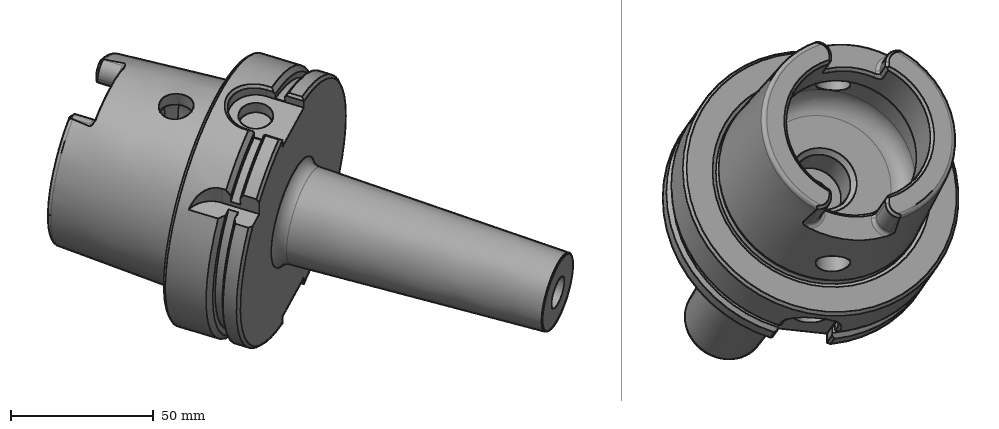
import cadquery as cq
import math

ARC_MID = math.sqrt(0.5)
MARGIN = 0.2
OVERSHOOT = 1.8

total_length = 179.0
flange_start = 50.0
flange_end = 79.0

taper_front_radius = 35.3
taper_back_radius = 38.0
taper_end = 47.8
mouth_round = 1.6
undercut_start = 48.5
undercut_end = 49.2
undercut_radius = 37.5
undercut_wall_radius = 38.1
undercut_face_radius = 39.5
undercut_face_depth = 0.7

flange_radius = 100.0 / 2
flange_chamfer = 1.0
groove_start = 68.2
groove_end = 71.8
groove_radius = 46.0
groove_bevel_height = 1.8
groove_start_bevel = 1.8
groove_end_bevel = 1.0

nose_base_radius = 17.9
nose_tip_radius = 14.5
nose_root_end = 83.6
nose_root_rise = 2.5
tip_chamfer = 0.4

mouth_bore_radius = 26.1
mouth_bore_end = 19.7
cavity_radius = 31.5
clamp_angle = 60.0
cavity_floor = 47.8
cavity_corner_radius = 7.0

through_radius = 5.9
tube_hole_radius = 10.4
tube_hole_depth = 14.3
tube_hole_chamfer = 1.8

notch_half_width = 9.8
notch_shoulder_radius = 5.0
notch_shoulder_height = 31.9
upper_notch_depth = 9.7
lower_notch_depth = 15.0
notch_floor_fillet = 1.5
notch_edge_break = 1.0

cross_hole_radius = 6.0
cross_hole_x = 34.7

slot_half_width = 9.8
slot_center_x = 64.8
slot_floor = 44.5
slot_chamfer = 1.0
slot_hole_radius = 6.0
slot_hole_depth = 5.0
corner_notch_offset = 31.5


def revolve_about_x(profile):
    """Turn an XY profile, with Y as the radius, about the X axis."""
    return profile.close().revolve(360, (0, 0, 0), (1, 0, 0))


def turned_body():
    rounding_x = mouth_round * (1 - ARC_MID)
    face_radius = taper_front_radius - mouth_round
    root_length = nose_root_end - flange_end
    root_radius = (root_length**2 + nose_root_rise**2) / (2 * nose_root_rise)
    root_half_angle = math.asin(root_length / root_radius) / 2
    root_mid = (
        nose_root_end - root_radius * math.sin(root_half_angle),
        nose_base_radius + root_radius * (1 - math.cos(root_half_angle)),
    )
    profile = (
        cq.Workplane("XY")
        .lineTo(0, face_radius)
        .threePointArc(
            (rounding_x, face_radius + mouth_round * ARC_MID),
            (mouth_round, taper_front_radius),
        )
        .lineTo(taper_end, taper_back_radius)
        .lineTo(undercut_start, undercut_radius)
        .lineTo(undercut_end, undercut_radius)
        .tangentArcPoint((flange_start + undercut_face_depth, undercut_wall_radius), relative=False)
        .lineTo(flange_start, undercut_face_radius)
        .lineTo(flange_start, flange_radius - flange_chamfer)
        .lineTo(flange_start + flange_chamfer, flange_radius)
        .lineTo(flange_end - flange_chamfer, flange_radius)
        .lineTo(flange_end, flange_radius - flange_chamfer)
        .lineTo(flange_end, nose_base_radius + nose_root_rise)
        .threePointArc(root_mid, (nose_root_end, nose_base_radius))
        .lineTo(total_length - tip_chamfer, nose_tip_radius)
        .lineTo(total_length, nose_tip_radius - tip_chamfer)
        .lineTo(total_length, 0)
    )
    return revolve_about_x(profile)


def mouth_bore():
    return cq.Workplane("YZ").circle(mouth_bore_radius).extrude(mouth_bore_end)


def clamping_cavity():
    """Undercut chamber, tube hole and through hole behind the mouth bore."""
    cone_length = (cavity_radius - mouth_bore_radius) / math.tan(math.radians(clamp_angle))
    corner_x = cavity_floor - cavity_corner_radius
    corner_y = cavity_radius - cavity_corner_radius
    tube_hole_end = cavity_floor + tube_hole_depth
    profile = (
        cq.Workplane("XY")
        .moveTo(mouth_bore_end, 0)
        .lineTo(mouth_bore_end, mouth_bore_radius)
        .lineTo(mouth_bore_end + cone_length, cavity_radius)
        .lineTo(corner_x, cavity_radius)
        .threePointArc(
            (corner_x + cavity_corner_radius * ARC_MID, corner_y + cavity_corner_radius * ARC_MID),
            (cavity_floor, corner_y),
        )
        .lineTo(cavity_floor, tube_hole_radius + tube_hole_chamfer)
        .lineTo(cavity_floor + tube_hole_chamfer, tube_hole_radius)
        .lineTo(tube_hole_end, tube_hole_radius)
        .lineTo(tube_hole_end, through_radius)
        .lineTo(total_length, through_radius)
        .lineTo(total_length, 0)
    )
    return revolve_about_x(profile)


def notch_outline():
    """Notch section whose walls curve outward to flat shoulders."""
    reach = flange_radius
    shoulder_y = notch_half_width + notch_shoulder_radius
    arc_center_z = notch_shoulder_height - notch_shoulder_radius
    arc_mid_y = shoulder_y - notch_shoulder_radius * ARC_MID
    arc_mid_z = arc_center_z + notch_shoulder_radius * ARC_MID
    return (
        cq.Workplane("YZ")
        .moveTo(-notch_half_width, 0)
        .lineTo(-notch_half_width, arc_center_z)
        .threePointArc((-arc_mid_y, arc_mid_z), (-shoulder_y, notch_shoulder_height))
        .lineTo(-reach, notch_shoulder_height)
        .lineTo(-reach, reach)
        .lineTo(reach, reach)
        .lineTo(reach, notch_shoulder_height)
        .lineTo(shoulder_y, notch_shoulder_height)
        .threePointArc((arc_mid_y, arc_mid_z), (notch_half_width, arc_center_z))
        .lineTo(notch_half_width, 0)
        .close()
    )


def on_side(cutter, side):
    """Keep a +Z cutter in place, or mirror it to -Z when side is negative."""
    return cutter if side > 0 else cutter.mirror("XY")


def drive_notch(depth):
    """Notch open at the mouth, with a rounded corner where walls meet floor."""
    shoulder_y = notch_half_width + notch_shoulder_radius
    floor_corner = cq.selectors.BoxSelector(
        (depth - MARGIN, -shoulder_y - MARGIN, MARGIN),
        (depth + MARGIN, shoulder_y + MARGIN, flange_radius - MARGIN),
    )
    return notch_outline().extrude(depth).edges(floor_corner).fillet(notch_floor_fillet)


def notch_front_bevel():
    """Slanted cutter that breaks the front edges of a notch."""
    return notch_outline().offset2D(notch_edge_break).extrude(notch_edge_break, taper=45)


def axis_distance(vertex):
    return math.hypot(vertex.Y, vertex.Z)


def break_bore_edges(body):
    """Chamfer the mouth bore where it meets the front face and the notches."""
    rim_limit = lower_notch_depth + MARGIN

    def on_rim(edge):
        return all(
            vertex.X < rim_limit and abs(axis_distance(vertex) - mouth_bore_radius) < MARGIN
            for vertex in edge.Vertices()
        )

    rim = [edge for edge in body.edges().vals() if on_rim(edge)]
    return body.newObject(rim).chamfer(notch_edge_break)


def cross_hole():
    return (
        cq.Workplane("XY", origin=(cross_hole_x, 0, -flange_radius))
        .circle(cross_hole_radius)
        .extrude(2 * flange_radius)
    )


def slot_cutter(center_y, floor):
    """Round-ended slot that runs out through the nose side of the flange."""
    height = flange_radius + OVERSHOOT - floor
    run_length = flange_end - slot_center_x
    plane = cq.Workplane("XY", origin=(slot_center_x, center_y, floor))
    round_end = plane.circle(slot_half_width).extrude(height)
    run_plane = plane.center(run_length / 2, 0)
    straight_run = run_plane.rect(run_length, 2 * slot_half_width).extrude(height)
    return round_end.union(straight_run)


def cut_key_slot(body, side):
    """Cut a key slot and chamfer its edges on the outside of the flange."""
    body = body.cut(on_side(slot_cutter(0, slot_floor), side))

    def on_slot_rim(edge):
        return all(
            side * vertex.Z > slot_floor
            and abs(vertex.Y) < slot_half_width + MARGIN
            and abs(axis_distance(vertex) - flange_radius) < MARGIN
            for vertex in edge.Vertices()
        )

    rim = [edge for edge in body.edges().vals() if on_slot_rim(edge)]
    return body.newObject(rim).chamfer(slot_chamfer)


def slot_hole():
    return (
        cq.Workplane("XY", origin=(slot_center_x, 0, slot_floor - slot_hole_depth))
        .circle(slot_hole_radius)
        .extrude(slot_hole_depth)
    )


def gripper_groove():
    """Ring cutter with a bevelled mouth around the flange."""
    bevel_radius = flange_radius - groove_bevel_height
    profile = (
        cq.Workplane("XY")
        .moveTo(groove_start, groove_radius)
        .lineTo(groove_start, bevel_radius)
        .lineTo(groove_start - groove_start_bevel, flange_radius)
        .lineTo(groove_end + groove_end_bevel, flange_radius)
        .lineTo(groove_end, bevel_radius)
        .lineTo(groove_end, groove_radius)
    )
    return revolve_about_x(profile)


result = turned_body().cut(mouth_bore())

notch_sides = ((upper_notch_depth, 1), (lower_notch_depth, -1))
for notch_depth, side in notch_sides:
    result = result.cut(on_side(drive_notch(notch_depth), side))
result = break_bore_edges(result)
for _, side in notch_sides:
    result = result.cut(on_side(notch_front_bevel(), side))

result = result.cut(clamping_cavity())
result = result.cut(cross_hole())

for side in (1, -1):
    result = cut_key_slot(result, side)
    result = result.cut(on_side(slot_hole(), side))
corner_notch_y = -corner_notch_offset - slot_half_width
result = result.cut(slot_cutter(corner_notch_y, corner_notch_offset))
result = result.cut(gripper_groove())